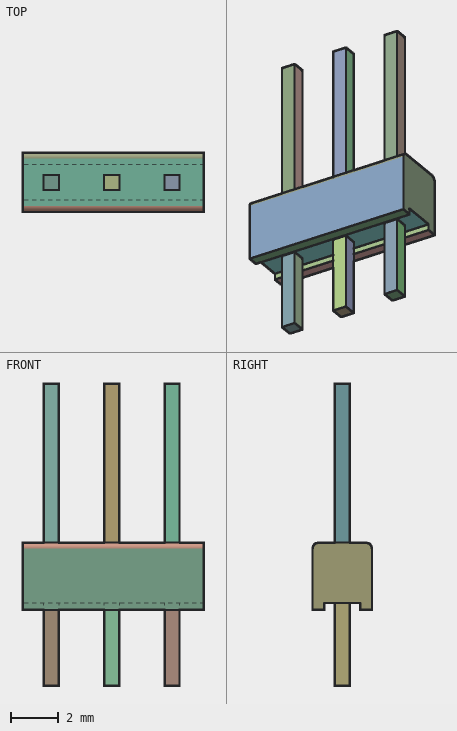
import cadquery as cq

body_length = 7.62
body_width = 2.5
body_height = 2.82
edge_radius = 0.25

channel_width = 1.5
channel_depth = 0.28

pin_count = 3
pin_pitch = 2.54
pin_size = 0.64
pin_length = 12.7
pin_tail = 3.2
pin_row_shift = -0.06


def make_housing():
    """Block with its underside at Z = 0 and rounded long top edges."""
    block = cq.Workplane("XY").box(
        body_length, body_width, body_height, centered=(True, True, False)
    )
    block = block.edges("|X and >Z").fillet(edge_radius)
    channel = cq.Workplane("XY").box(
        body_length, channel_width, channel_depth, centered=(True, True, False)
    )
    return block.cut(channel)


def make_pins():
    """Row of straight square pins passing through the housing."""
    return (
        cq.Workplane("XY", origin=(pin_row_shift, 0, -pin_tail))
        .rarray(pin_pitch, 0.13, pin_count, 1)
        .rect(pin_size, pin_size)
        .extrude(pin_length)
    )


result = make_housing().union(make_pins())